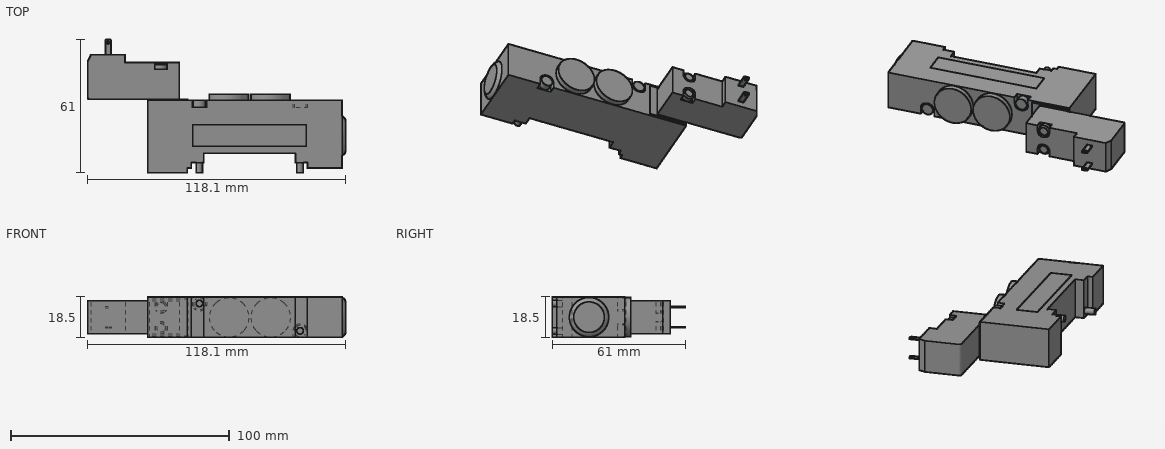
import cadquery as cq
import math


body_length = 89.0
body_height = 18.5
foot_y = -33.2
right_foot_y = -31.0
ledge_y = -28.5
channel_y = -24.3
foot_end_x = 18.2
ledge_start_x = 20.0
channel_start_x = 25.7
channel_end_x = 67.6
right_foot_x = 73.1

top_middle_x = 46.7

screw_spacing = 46.0
screw_offset_z = 6.25
screw_diameter = 3.0
screw_head_diameter = 5.4
screw_slot_width = 6.6
screw_slot_depth = 3.3

pad_diameter = 18.0
pad_thickness = 2.8
pad_spacing = 19.0
cap_thickness = 1.7
cap_end_diameter = 14.0
cap_bulge = 0.25
cap_y = -16.3

label_start_x = 20.6
label_length = 52.0
label_top_y = -11.1
label_width = 10.0
label_depth = 0.1

gasket_start_x = 0.75
gasket_end_x = 18.3
gasket_height = 17.0
gasket_thickness = 0.4

coil_start_x = -27.4
coil_end_x = 14.6
coil_step_x = -10.3
coil_height = 15.2
coil_top_y = 20.9
coil_shoulder_y = 17.3
coil_chamfer_x = 1.5
coil_chamfer_y = 3.2
coil_corner_radius = 0.9

coil_screw_x = 6.1
coil_screw_z = 4.8
coil_slot_width = 5.8
coil_slot_depth = 3.2
coil_head_height = 2.8
coil_head_top_diameter = 3.9

terminal_x = -18.0
terminal_width = 2.6
terminal_thickness = 0.5
overall_depth = 60.99
terminal_tip_y = foot_y + overall_depth
terminal_spacing = 9.3
terminal_tip_chamfer = 0.4
terminal_hole_diameter = 1.0
terminal_hole_inset = 1.5


def y_cylinder(x, z, diameter, start_y, end_y):
    """Cylinder along Y between two Y positions."""
    axis_start = cq.Vector(x, start_y, z)
    return cq.Workplane(cq.Solid.makeCylinder(diameter / 2, end_y - start_y, axis_start, cq.Vector(0, 1, 0)))


def open_slot(x, z, side, width, top_y, depth, outside_z):
    """Round-bottomed slot along Y that opens through the upper (side = 1) or lower (-1) face."""
    round_bottom = y_cylinder(x, z, width, top_y - depth, top_y)
    reach = outside_z - side * z
    walls = cq.Workplane().box(width, depth, reach).translate(
        (x, top_y - depth / 2, z + side * reach / 2)
    )
    return round_bottom.union(walls)


def make_body():
    outline = [
        (0, 0),
        (body_length, 0),
        (body_length, right_foot_y),
        (right_foot_x, right_foot_y),
        (right_foot_x, ledge_y),
        (channel_end_x, ledge_y),
        (channel_end_x, channel_y),
        (channel_start_x, channel_y),
        (channel_start_x, ledge_y),
        (ledge_start_x, ledge_y),
        (ledge_start_x, right_foot_y),
        (foot_end_x, right_foot_y),
        (foot_end_x, foot_y),
        (0, foot_y),
    ]
    body = cq.Workplane().polyline(outline).close().extrude(body_height / 2, both=True)

    for side in (-1, 1):
        x = top_middle_x - side * screw_spacing / 2
        z = side * screw_offset_z
        slot = open_slot(x, z, side, screw_slot_width, 0, screw_slot_depth, body_height / 2)
        head = y_cylinder(x, z, screw_head_diameter, -screw_slot_depth, 0)
        shank = y_cylinder(x, z, screw_diameter, foot_y, ledge_y)
        body = body.cut(slot).union(head).union(shank)

    for side in (-1, 1):
        x = top_middle_x + side * pad_spacing / 2
        body = body.union(y_cylinder(x, 0, pad_diameter, 0, pad_thickness))

    return body.union(make_end_cap()).cut(make_label_recess())


def make_end_cap():
    """Round cap on the right end, with a rim that curves in towards its flat end."""
    base_radius = pad_diameter / 2
    end_radius = cap_end_diameter / 2
    rim_height = base_radius - end_radius
    bulge_scale = cap_bulge / math.hypot(cap_thickness, rim_height)
    rim_middle = (
        cap_thickness / 2 + bulge_scale * rim_height,
        (base_radius + end_radius) / 2 + bulge_scale * cap_thickness,
    )
    return (
        cq.Workplane(origin=(body_length, cap_y, 0))
        .lineTo(0, base_radius)
        .threePointArc(rim_middle, (cap_thickness, end_radius))
        .lineTo(cap_thickness, 0)
        .close()
        .revolve(360, (0, 0), (1, 0))
    )


def make_label_recess():
    return (
        cq.Workplane()
        .box(label_length, label_width, label_depth, centered=False)
        .translate((label_start_x, label_top_y - label_width, body_height / 2 - label_depth))
    )


def make_gasket():
    return (
        cq.Workplane()
        .box(gasket_end_x - gasket_start_x, gasket_thickness, gasket_height, centered=(False, False, True))
        .translate((gasket_start_x, 0, 0))
    )


def make_terminal(z):
    blade_length = terminal_tip_y - coil_top_y
    blade = (
        cq.Workplane()
        .box(terminal_width, blade_length, terminal_thickness, centered=(True, False, True))
        .edges("|Z and >Y")
        .chamfer(terminal_tip_chamfer)
    )
    hole = (
        cq.Workplane()
        .center(0, blade_length - terminal_hole_inset)
        .circle(terminal_hole_diameter / 2)
        .extrude(terminal_thickness, both=True)
    )
    return blade.cut(hole).translate((terminal_x, coil_top_y, z))


def make_coil_screw_head(z):
    """Screw head that stands on the slot floor and narrows at its top."""
    slot_floor_y = coil_shoulder_y - coil_slot_depth
    head = y_cylinder(coil_screw_x, z, screw_head_diameter, slot_floor_y, slot_floor_y + coil_head_height)
    bevel = (screw_head_diameter - coil_head_top_diameter) / 2
    return head.faces(">Y").edges().chamfer(bevel)


def make_coil():
    outline = [
        (coil_start_x, gasket_thickness),
        (coil_end_x, gasket_thickness),
        (coil_end_x, coil_shoulder_y),
        (coil_step_x, coil_shoulder_y),
        (coil_step_x, coil_top_y),
        (coil_start_x + coil_chamfer_x, coil_top_y),
        (coil_start_x, coil_top_y - coil_chamfer_y),
    ]
    coil = (
        cq.Workplane()
        .polyline(outline)
        .close()
        .extrude(coil_height / 2, both=True)
        .edges("|Z and <X and <Y")
        .fillet(coil_corner_radius)
    )

    for side in (-1, 1):
        z = side * coil_screw_z
        slot = open_slot(
            coil_screw_x, z, side, coil_slot_width, coil_shoulder_y, coil_slot_depth, coil_height / 2
        )
        coil = coil.cut(slot).union(make_coil_screw_head(z))
        coil = coil.union(make_terminal(side * terminal_spacing / 2))
    return coil


body = make_body()
gasket = make_gasket()
coil = make_coil()
result = cq.Compound.makeCompound([body.val(), gasket.val(), coil.val()])